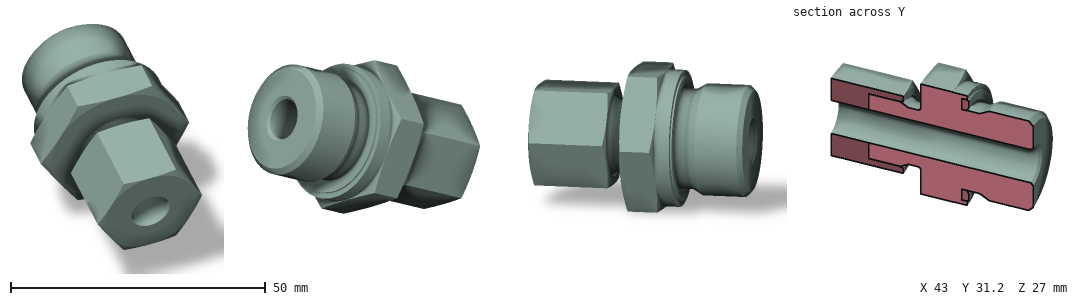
import cadquery as cq
import math


overall_length = 43.0
bore_radius = 4.0
hex_chamfer_angle = math.radians(15)
runout_angle = math.radians(30)
runout_slope = math.tan(runout_angle)

thread_radius = 11.0
thread_end = 9.37
thread_chamfer_length = 1.0
thread_chamfer_height = 1.05
bore_chamfer = 0.55
undercut_radius = 9.85
undercut_blend = 1.08

body_flats = 27.0
collar_radius = 13.45
collar_start = 13.98
hex_start = 17.0
hex_end = 24.0

neck_radius = 7.0
neck_fillet = 0.5
neck_end = 26.57
outlet_radius = 8.0
outlet_end = 35.0
outlet_runout_end = neck_end + (outlet_radius - neck_radius) / runout_slope

seal_radius = 12.35
seal_protrusion = 0.3
seal_recess_depth = 1.2
seal_chamfer_height = 0.7
seal_chamfer_depth = 0.3
seal_start = collar_start - seal_protrusion
seal_end = collar_start + seal_recess_depth

nut_flats = 19.0
nut_start = 27.5


def cylinder(radius, start, end):
    """Solid cylinder about the X axis."""
    return cq.Workplane("YZ", origin=(start, 0, 0)).circle(radius).extrude(end - start)


def revolve_about_x(profile):
    """Turn a closed (X, radius) profile about the X axis."""
    return profile.close().revolve(360, (0, 0, 0), (1, 0, 0))


def chamfered_hexagon(flats, start, end):
    """Hexagonal prism with flats facing up and down and conically trimmed corners."""
    corner_radius = flats / 2 / math.cos(math.pi / 6)
    prism = (
        cq.Workplane("YZ", origin=(start, 0, 0))
        .polygon(6, 2 * corner_radius)
        .extrude(end - start)
    )
    chamfer_length = (corner_radius - flats / 2) * math.tan(hex_chamfer_angle)
    envelope = revolve_about_x(
        cq.Workplane("XY")
        .moveTo(start, 0)
        .lineTo(start, flats / 2)
        .lineTo(start + chamfer_length, corner_radius)
        .lineTo(end - chamfer_length, corner_radius)
        .lineTo(end, flats / 2)
        .lineTo(end, 0)
    )
    return prism.intersect(envelope)


def make_screw_end():
    """Threaded end with its lead-in chamfer, tapered run-out and blended undercut."""
    runout_corner = thread_end + (thread_radius - undercut_radius) / runout_slope
    blend_tangent = undercut_blend * math.tan(runout_angle / 2)
    blend_start = (
        runout_corner - blend_tangent * math.cos(runout_angle),
        undercut_radius + blend_tangent * math.sin(runout_angle),
    )
    return revolve_about_x(
        cq.Workplane("XY")
        .lineTo(0, thread_radius - thread_chamfer_height)
        .lineTo(thread_chamfer_length, thread_radius)
        .lineTo(thread_end, thread_radius)
        .lineTo(*blend_start)
        .radiusArc((runout_corner + blend_tangent, undercut_radius), -undercut_blend)
        .lineTo(hex_start, undercut_radius)
        .lineTo(hex_start, 0)
    )


def make_outlet_end():
    """Neck filleted into the hexagon, widening to the spigot that carries the nut."""
    return revolve_about_x(
        cq.Workplane("XY")
        .moveTo(hex_end, 0)
        .lineTo(hex_end, neck_radius + neck_fillet)
        .radiusArc((hex_end + neck_fillet, neck_radius), -neck_fillet)
        .lineTo(neck_end, neck_radius)
        .lineTo(outlet_runout_end, outlet_radius)
        .lineTo(outlet_end, outlet_radius)
        .lineTo(outlet_end, 0)
    )


def make_body():
    """Screw-in body with a through bore and a face recess for the seal ring."""
    recess = cylinder(seal_radius, collar_start, seal_end)
    collar = cylinder(collar_radius, collar_start, hex_start).cut(recess)
    hexagon = chamfered_hexagon(body_flats, hex_start, hex_end)
    outside = collar.union(hexagon).union(make_screw_end()).union(make_outlet_end())
    bore = revolve_about_x(
        cq.Workplane("XY")
        .lineTo(0, bore_radius + bore_chamfer)
        .lineTo(bore_chamfer, bore_radius)
        .lineTo(outlet_end, bore_radius)
        .lineTo(outlet_end, 0)
    )
    return outside.cut(bore)


def make_seal_ring():
    """Ring around the undercut, standing slightly proud of the collar face."""
    return revolve_about_x(
        cq.Workplane("XY")
        .moveTo(seal_start, undercut_radius + seal_chamfer_height)
        .lineTo(seal_start, seal_radius)
        .lineTo(seal_end, seal_radius)
        .lineTo(seal_end, undercut_radius)
        .lineTo(seal_start + seal_chamfer_depth, undercut_radius)
    )


def make_nut():
    """Union nut: a socket for the outlet spigot, then a plain hole for the tube."""
    socket = cylinder(outlet_radius, nut_start, outlet_end)
    tube_hole = cylinder(bore_radius, outlet_end, overall_length)
    return chamfered_hexagon(nut_flats, nut_start, overall_length).cut(socket).cut(tube_hole)


body = make_body()
seal_ring = make_seal_ring()
nut = make_nut()

result = cq.Compound.makeCompound([body.val(), seal_ring.val(), nut.val()])